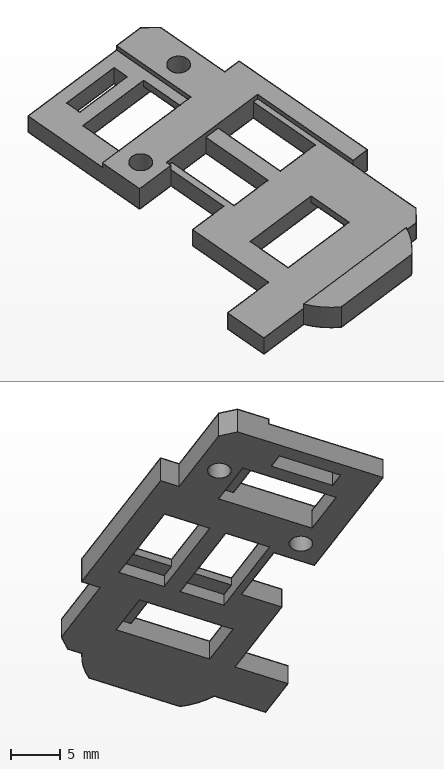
import cadquery as cq

full_height = 2.97
step_depth = 0.63
low_height = full_height - step_depth

plate_right = 38.7
plate_back = 17.85
corner_chamfer = 1.42

pocket_right = 10.45
pocket_back = 12.9
deck_right = 15.05
foot_right = 15.65
strip_right = 28.45
strip_back = 19.95

notch_right = 23.1
notch_back = 4.55
tail_left = 33.77
tail_right = 38.9
tail_length = 6.0

ear_right = 41.9
ear_center = (35.5, 7.3)
ear_radius = 8.2

slot = (1.55, 3.4, 4.02, 10.95)

outer_window_front = 2.85
outer_window_back = 11.75
outer_windows = [(4.95, pocket_right), (strip_right, tail_left)]

middle_window_left = deck_right
middle_window_right = 23.75
middle_windows = [(5.35, 10.3), (12.1, 17.2)]

lip_thickness = 0.92
undercut_reach = 1.68
undercut_top = low_height - lip_thickness

hole_diameter = 2.4
hole_centers = [(6.35, 15.35), (13.15, 2.75)]


def block(left, right, front, back, bottom=0, top=full_height):
    """Box given by its six side positions."""
    size = (right - left, back - front, top - bottom)
    return cq.Workplane("XY").box(*size, centered=False).translate((left, front, bottom))


def make_plate():
    """Full-height plate with chamfered back corners, back strip and lower notch."""
    plate = block(0, plate_right, 0, plate_back)
    plate = plate.edges("|Z and >Y").chamfer(corner_chamfer)
    plate = plate.union(block(pocket_right, strip_right, plate_back, strip_back))
    return plate.cut(block(foot_right, notch_right, 0, notch_back))


def lower_steps(plate):
    """Sink the left pocket and the whole area right of the deck."""
    pocket = block(0, pocket_right, 0, pocket_back, bottom=low_height)
    right_area = block(deck_right, plate_right, notch_back, plate_back, bottom=low_height)
    right_leg = block(notch_right, plate_right, 0, notch_back, bottom=low_height)
    return plate.cut(pocket).cut(right_area).cut(right_leg)


def make_tail():
    """Low bar along the ear that reaches beyond the lower edge."""
    ear_back = ear_center[1] + (ear_radius**2 - (tail_right - ear_center[0])**2) ** 0.5
    return block(tail_left, tail_right, -tail_length, ear_back, top=low_height)


def make_ear():
    """Full-height slice of a disc, flat on its inner and outer sides."""
    disc = cq.Workplane("XY").center(*ear_center).circle(ear_radius).extrude(full_height)
    slice_front = ear_center[1] - ear_radius
    slice_back = ear_center[1] + ear_radius
    return disc.intersect(block(tail_right, ear_right, slice_front, slice_back))


def cut_outer_window(body, left, right):
    """Cut a through window with an undercut beyond its back end."""
    window = block(left, right, outer_window_front, outer_window_back)
    undercut_back = outer_window_back + undercut_reach
    undercut = block(left, right, outer_window_back, undercut_back, top=undercut_top)
    return body.cut(window).cut(undercut)


def cut_middle_window(body, front, back):
    """Cut a through window with an undercut beyond its right end."""
    window = block(middle_window_left, middle_window_right, front, back)
    undercut_right = middle_window_right + undercut_reach
    undercut = block(middle_window_right, undercut_right, front, back, top=undercut_top)
    return body.cut(window).cut(undercut)


body = lower_steps(make_plate()).union(make_tail()).union(make_ear())
body = body.cut(block(*slot))

for left, right in outer_windows:
    body = cut_outer_window(body, left, right)

for front, back in middle_windows:
    body = cut_middle_window(body, front, back)

holes = cq.Workplane("XY").pushPoints(hole_centers).circle(hole_diameter / 2).extrude(full_height)
result = body.cut(holes)